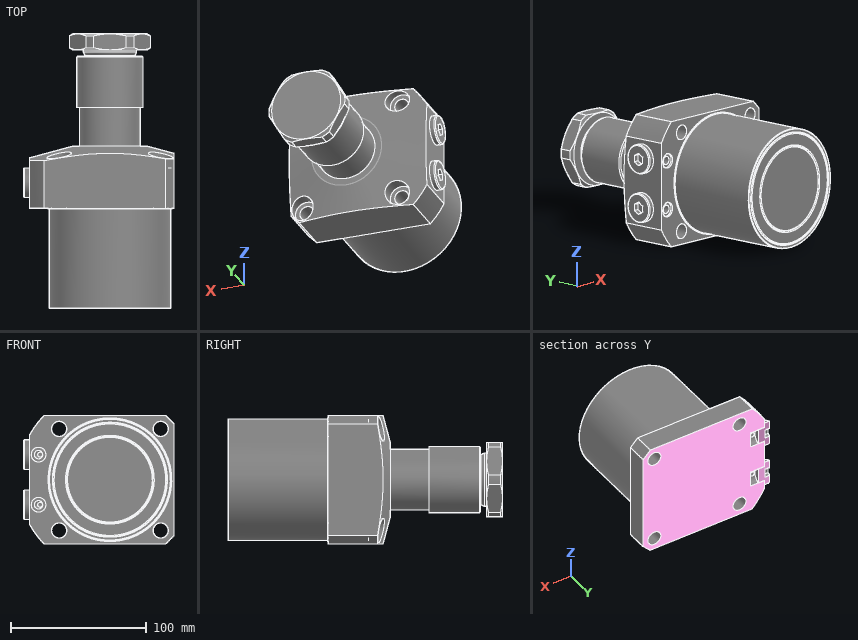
import cadquery as cq
import math


barrel_radius = 45.0
barrel_length = 74.0
barrel_chamfer = 0.4
pad_radius = 45.7
pad_height = 0.5
flange_thickness = 46.0
stem_radius = 22.5
stem_end = 74.5

flange_half = 47.5
port_face_x = -59.5
flange_corner_radius = 68.0
flange_corner_chamfer = 6.35
back_flat_radius = 27.75
back_cone_angle = 15.0
bolt_hole_diameter = 11.0
bolt_hole_pitch = 75.0
bolt_head_diameter = 18.0
bolt_seat_y = 30.0

port_z_positions = (-18.5, 18.5)
port_y = 19.0
port_radius = 6.6
port_depth = 12.0
seal_recess_x = -52.7
seal_recess_radius = 5.4
seal_recess_depth = 1.5
passage_radius = 3.1
passage_depth = 8.0
drill_tip_angle = 118.0
cross_hole_radius = 1.85
cross_hole_x = seal_recess_x + 1.2

plug_head_radius = 11.0
plug_head_height = 4.5
plug_chamfer_height = 1.0
plug_chamfer_width = 0.6
plug_shank_length = 5.5
plug_socket_flats = 8.0
plug_socket_depth = 4.0

ram_radius = 32.0
ram_length = 60.0
ram_edge_chamfer = 0.7
gland_radius = 42.0
gland_length = 20.0
gland_edge_chamfer = 0.8
barrel_mouth_chamfer = 0.5

sleeve_radius = 24.6
sleeve_end = 112.5
sleeve_chamfer = 0.8

screw_end = 129.0
hex_flats = 55.0
hex_height = 12.0
hex_corner_radius = 30.0
hex_chamfer_radius = 27.3
hex_chamfer_angle = 30.0
collar_radius = 19.8
collar_height = 1.6
collar_taper_height = 2.4
shank_radius = 18.6
shank_depth = 15.0


def revolved(profile):
    """Revolve a closed (radius, y) profile about the Y axis."""
    return cq.Workplane("XY").polyline(profile).close().revolve(360, (0, 0, 0), (0, 1, 0))


def rod_y(radius, start, end, x=0.0, z=0.0):
    """Cylinder along Y from start to end."""
    return cq.Workplane("XY").add(
        cq.Solid.makeCylinder(radius, end - start, cq.Vector(x, start, z), cq.Vector(0, 1, 0))
    )


def rod_x(radius, start, length, z):
    """Cylinder along X on the height of the ports."""
    return cq.Workplane("XY").add(
        cq.Solid.makeCylinder(radius, length, cq.Vector(start, port_y, z), cq.Vector(1, 0, 0))
    )


def make_flange():
    width = flange_half - port_face_x
    block = (
        cq.Workplane("XY")
        .box(width, flange_thickness, 2 * flange_half, centered=(False, False, True))
        .translate((port_face_x, 0, 0))
        .edges("|Y and >X")
        .chamfer(flange_corner_chamfer)
    )
    cone_drop = (flange_corner_radius - back_flat_radius) * math.tan(math.radians(back_cone_angle))
    envelope = revolved([
        (0, 0),
        (flange_corner_radius, 0),
        (flange_corner_radius, flange_thickness - cone_drop),
        (back_flat_radius, flange_thickness),
        (0, flange_thickness),
    ])
    half_pitch = bolt_hole_pitch / 2
    flange = block.intersect(envelope)
    for x in (-half_pitch, half_pitch):
        for z in (-half_pitch, half_pitch):
            flange = flange.cut(rod_y(bolt_hole_diameter / 2, 0, flange_thickness, x, z))
            flange = flange.cut(rod_y(bolt_head_diameter / 2, bolt_seat_y, flange_thickness, x, z))
    return flange


def cut_port(body, z):
    """Plug bore, seal recess and the passage that joins them."""
    tip_height = passage_radius / math.tan(math.radians(drill_tip_angle / 2))
    tip = cq.Solid.makeCone(
        passage_radius, 0, tip_height, cq.Vector(seal_recess_x, passage_depth, z), cq.Vector(0, 1, 0)
    )
    body = body.cut(rod_x(port_radius, port_face_x, port_depth, z))
    body = body.cut(rod_y(seal_recess_radius, 0, seal_recess_depth, seal_recess_x, z))
    body = body.cut(rod_y(passage_radius, 0, passage_depth, seal_recess_x, z))
    body = body.cut(cq.Workplane("XY").add(tip))
    return body.cut(rod_y(cross_hole_radius, passage_depth, port_y, cross_hole_x, z))


def make_housing():
    barrel = rod_y(barrel_radius, -barrel_length, 0).faces("<Y").chamfer(barrel_chamfer)
    stem = rod_y(stem_radius, flange_thickness, stem_end)
    pad = rod_y(pad_radius, -pad_height, 0)
    body = make_flange().union(pad).union(barrel).union(stem)
    body = body.cut(rod_y(gland_radius, -barrel_length, gland_length - barrel_length))
    mouth = cq.Solid.makeCone(
        gland_radius + barrel_mouth_chamfer,
        gland_radius,
        barrel_mouth_chamfer,
        cq.Vector(0, -barrel_length, 0),
        cq.Vector(0, 1, 0),
    )
    body = body.cut(cq.Workplane("XY").add(mouth))
    body = body.cut(rod_y(ram_radius, -barrel_length, ram_length - barrel_length))
    for z in port_z_positions:
        body = cut_port(body, z)
    return body


def make_plug(z):
    outer_x = port_face_x - plug_head_height
    head = rod_x(plug_head_radius, outer_x, plug_head_height, z)
    head = head.faces("<X").edges().chamfer(plug_chamfer_height, plug_chamfer_width)
    shank = rod_x(port_radius, port_face_x, plug_shank_length, z)
    socket = (
        cq.Workplane("YZ", origin=(outer_x, port_y, z))
        .polygon(6, plug_socket_flats / math.cos(math.radians(30)))
        .extrude(plug_socket_depth)
        .rotate((outer_x, port_y, z), (outer_x + 1, port_y, z), 30)
    )
    return head.union(shank).cut(socket)


def make_ram():
    ram = rod_y(ram_radius, -barrel_length, ram_length - barrel_length)
    return ram.faces("<Y").chamfer(ram_edge_chamfer)


def make_gland():
    gland = rod_y(gland_radius, -barrel_length, gland_length - barrel_length)
    gland = gland.cut(rod_y(ram_radius, -barrel_length, gland_length - barrel_length))
    return gland.faces("<Y").edges().chamfer(gland_edge_chamfer)


def make_sleeve():
    sleeve = rod_y(sleeve_radius, stem_end, sleeve_end).faces(">Y").chamfer(sleeve_chamfer)
    return sleeve.cut(rod_y(shank_radius, sleeve_end - shank_depth, sleeve_end))


def make_stop_screw():
    head_start = screw_end - hex_height
    hexagon = (
        cq.Workplane("XZ", origin=(0, screw_end, 0))
        .polygon(6, hex_flats / math.cos(math.radians(30)))
        .extrude(hex_height)
    )
    bevel = (hex_corner_radius - hex_chamfer_radius) * math.tan(math.radians(hex_chamfer_angle))
    envelope = revolved([
        (0, head_start),
        (hex_chamfer_radius, head_start),
        (hex_corner_radius, head_start + bevel),
        (hex_corner_radius, screw_end - bevel),
        (hex_chamfer_radius, screw_end),
        (0, screw_end),
    ])
    collar_start = head_start - collar_height
    taper_start = collar_start - collar_taper_height
    shank = revolved([
        (0, sleeve_end - shank_depth),
        (shank_radius, sleeve_end - shank_depth),
        (shank_radius, taper_start),
        (collar_radius, collar_start),
        (collar_radius, head_start),
        (0, head_start),
    ])
    return hexagon.intersect(envelope).union(shank)


housing = make_housing()
plugs = [make_plug(z) for z in port_z_positions]
ram = make_ram()
gland = make_gland()
sleeve = make_sleeve()
stop_screw = make_stop_screw()

result = cq.Compound.makeCompound([
    housing.val(),
    *[plug.val() for plug in plugs],
    ram.val(),
    gland.val(),
    sleeve.val(),
    stop_screw.val(),
])